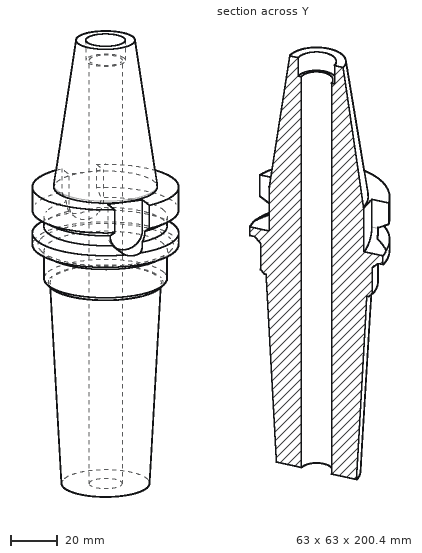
import cadquery as cq
import math


gauge_diameter = 44.45
taper_length = 65.4
taper_ratio = 7 / 24
taper_tip_diameter = gauge_diameter - taper_ratio * taper_length

flange_diameter = 63.0
flange_top_z = -1.0
flange_bottom_z = -27.0
groove_diameter = 53.0
groove_center_z = -16.6
groove_floor_width = 4.5
groove_flank_angle = 30.0

collar_diameter = 53.0
collar_top_chamfer = 2.6
collar_bottom_z = -44.2
collar_bottom_chamfer = 1.8

nose_root_diameter = 47.8
nose_tip_diameter = 38.0
nose_tip_z = -135.0

slot_width = 16.1
slot_floor_x = 22.5
slot_bottom_z = -22.5

entry_bore_diameter = 17.0
entry_bore_depth = 9.0
through_bore_diameter = 14.2


def make_body():
    """Revolve the half outline of the holder around the Z axis."""
    flange_radius = flange_diameter / 2
    groove_radius = groove_diameter / 2
    collar_radius = collar_diameter / 2
    gauge_radius = gauge_diameter / 2
    floor_half_width = groove_floor_width / 2
    flank_height = (flange_radius - groove_radius) * math.tan(math.radians(groove_flank_angle))
    mouth_half_width = floor_half_width + flank_height

    outline = [
        (0, taper_length),
        (taper_tip_diameter / 2, taper_length),
        (gauge_radius, 0),
        (gauge_radius, flange_top_z),
        (flange_radius, flange_top_z),
        (flange_radius, groove_center_z + mouth_half_width),
        (groove_radius, groove_center_z + floor_half_width),
        (groove_radius, groove_center_z - floor_half_width),
        (flange_radius, groove_center_z - mouth_half_width),
        (flange_radius, flange_bottom_z),
        (collar_radius + collar_top_chamfer, flange_bottom_z),
        (collar_radius, flange_bottom_z - collar_top_chamfer),
        (collar_radius, collar_bottom_z + collar_bottom_chamfer),
        (collar_radius - collar_bottom_chamfer, collar_bottom_z),
        (nose_root_diameter / 2, collar_bottom_z),
        (nose_tip_diameter / 2, nose_tip_z),
        (0, nose_tip_z),
    ]
    return cq.Workplane("XZ").polyline(outline).close().revolve(360, (0, 0), (0, 1))


def make_drive_slot(side):
    """Cutter for the round-bottomed slot on the +X (side=1) or -X (side=-1) flank."""
    slot_radius = slot_width / 2
    slot_center_z = slot_bottom_z + slot_radius
    reach = flange_diameter / 2 - slot_floor_x
    return (
        cq.Workplane("YZ", origin=(side * slot_floor_x, 0, 0))
        .moveTo(-slot_radius, flange_top_z)
        .lineTo(-slot_radius, slot_center_z)
        .threePointArc((0, slot_bottom_z), (slot_radius, slot_center_z))
        .lineTo(slot_radius, flange_top_z)
        .close()
        .extrude(side * reach)
    )


def make_bore():
    """Cutter for the stepped bore along the axis."""
    through_bore = (
        cq.Workplane("XY", origin=(0, 0, nose_tip_z))
        .circle(through_bore_diameter / 2)
        .extrude(taper_length - nose_tip_z)
    )
    entry_bore = (
        cq.Workplane("XY", origin=(0, 0, taper_length - entry_bore_depth))
        .circle(entry_bore_diameter / 2)
        .extrude(entry_bore_depth)
    )
    return through_bore.union(entry_bore)


result = make_body()
for side in (-1, 1):
    result = result.cut(make_drive_slot(side))
result = result.cut(make_bore())